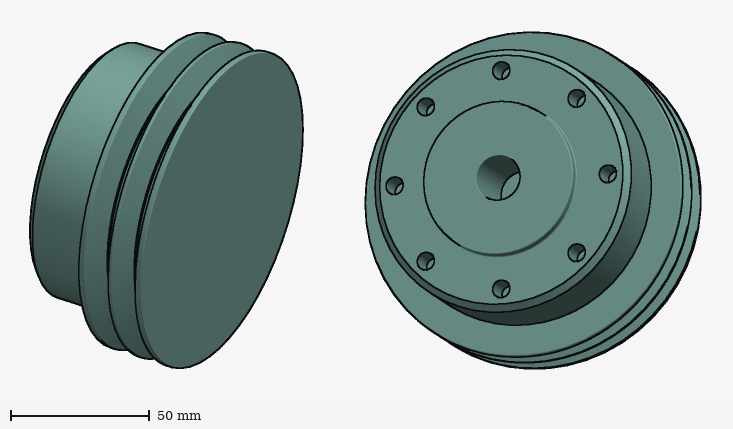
import cadquery as cq
import math


total_length = 57.7
boss_length = 4.0
rim_start = 32.0

rim_diameter = 118.8
hub_diameter = 96.2
boss_diameter = 56.1

hub_chamfer = 2.5
edge_fillet = 0.5
bore_fillet = 0.2

groove_count = 2
groove_pitch = 11.2
groove_floor_width = 3.0
groove_side_angle = 17.0

bore_diameter = 16.4
bolt_hole_count = 8
bolt_circle_diameter = 80.0
bolt_hole_diameter = 6.4
bolt_hole_depth = 11.9


def disc(start, end, diameter):
    """Solid cylinder on the X axis between two stations."""
    return cq.Workplane("YZ").workplane(offset=start).circle(diameter / 2).extrude(end - start)


def make_hub():
    hub = disc(boss_length, rim_start, hub_diameter)
    return hub.faces("<X").edges().chamfer(hub_chamfer)


def groove_cutter(center):
    """Ring of trapezoid section that cuts one belt groove, centred at the given X."""
    floor_radius = hub_diameter / 2
    rim_radius = rim_diameter / 2
    side_run = (rim_radius - floor_radius) * math.tan(math.radians(groove_side_angle))
    floor_half = groove_floor_width / 2
    mouth_half = floor_half + side_run
    section = (
        cq.Workplane("XY")
        .moveTo(center - floor_half, floor_radius)
        .lineTo(center + floor_half, floor_radius)
        .lineTo(center + mouth_half, rim_radius)
        .lineTo(center - mouth_half, rim_radius)
        .close()
    )
    return section.revolve(360, (0, 0, 0), (1, 0, 0))


def make_rim():
    """Grooved rim with rounded outer edges and groove corners."""
    rim = disc(rim_start, total_length, rim_diameter)
    rim_middle = (rim_start + total_length) / 2
    for index in range(groove_count):
        center = rim_middle + (index - (groove_count - 1) / 2) * groove_pitch
        rim = rim.cut(groove_cutter(center))
    return rim.edges("%CIRCLE").fillet(edge_fillet)


def make_bore():
    """Blind bore reaching the plane where the rim begins."""
    return disc(0, rim_start, bore_diameter)


def make_bolt_holes():
    return (
        cq.Workplane("YZ")
        .workplane(offset=boss_length)
        .polarArray(bolt_circle_diameter / 2, 0, 360, bolt_hole_count)
        .circle(bolt_hole_diameter / 2)
        .extrude(bolt_hole_depth)
    )


smallest_circle = cq.selectors.RadiusNthSelector(0)

boss = disc(0, boss_length, boss_diameter)
body = make_hub().union(boss)
body = body.faces("<X").edges().fillet(edge_fillet)
body = body.faces("<X[1]").edges(smallest_circle).fillet(edge_fillet)

body = body.union(make_rim())

body = body.cut(make_bore())
body = body.faces("<X").edges(smallest_circle).fillet(bore_fillet)
result = body.cut(make_bolt_holes())